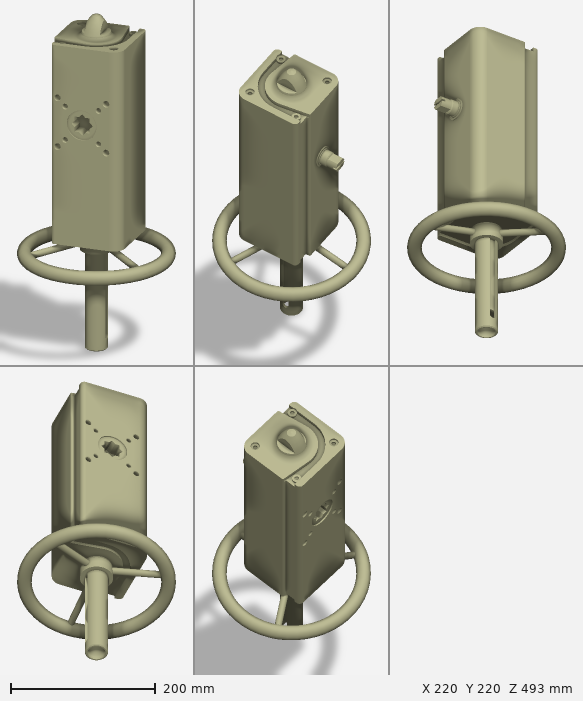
import cadquery as cq
import math


SHORT_SIDE = 51.5
LONG_SIDE = 57.0
HOUSING_TOP = 113.5
HOUSING_BOTTOM = -180.5
LARGE_CORNER = 17.0
SMALL_CORNER = 6.5
NOTCH_DEPTH = 5.0
NOTCH_START = 30.0
NOTCH_END = 31.0
NOTCH_ROUND = 2.5
BLOCK_CENTRE = (LONG_SIDE - SHORT_SIDE) / 2

TOP_CHANNEL_DEPTH = 6.5
BOTTOM_CHANNEL_DEPTH = 4.5
CHANNEL_INNER_RADIUS = 37.0
CHANNEL_OUTER_RADIUS = 47.0
CHANNEL_TILT = math.radians(8.5)

SCREW_OFFSET = 38.5
SCREW_HEAD_DIAMETER = 13.0
SCREW_SINK_DEPTH = 3.0
SCREW_SOCKET_DIAMETER = 6.5
SCREW_SOCKET_DEPTH = 3.0

DOME_BASE_RADIUS = 27.5
DOME_FLARE_RADIUS = 7.5
DOME_FOOT_HEIGHT = 3.5
DOME_MID_RADIUS = 15.5
DOME_MID_HEIGHT = 17.5
DOME_CAP_RADIUS = 6.5
DOME_CAP_HEIGHT = 29.5
DOME_HEIGHT = 31.5
DOME_FLAT_WIDTH = 22.5
DOME_FLAT_HEIGHT = 7.0

FLANGE_OUTER = 36.0
FLANGE_INNER = 24.5
LARGE_THREAD = 10.0
LARGE_CORE = 8.5
SMALL_THREAD = 8.5
SMALL_CORE = 6.5
MOUNT_HOLE_DEPTH = 15.0
DRILL_POINT = math.radians(59)

SHAFT_DIAMETER = 44.0
SHAFT_RECESS = 2.0
SHAFT_SHOULDER = 39.5
STEM_DIAMETER = 22.0
STEM_END = 65.0
STEM_CHAMFER = 1.5
TANG_DIAMETER = 20.0
TANG_THICKNESS = 16.0
TANG_END = 81.5
TANG_SLOT_WIDTH = 3.0
TANG_SLOT_DEPTH = 5.5
STAR_SIDE = 22.0
STAR_DEPTH = 19.5
REAR_BOSSES = [(31.0, 1.5), (25.0, 3.0)]

WHEEL_DIAMETER = 220.0
RIM_DIAMETER = 20.0
WHEEL_HEIGHT = -208.5
SPOKE_DIAMETER = 10.0
SPOKE_HUB_HEIGHT = -191.0
SPOKE_ANGLES = [90, 210, 330]
NECK_DIAMETER = 44.0
HUB_DIAMETER = 46.0
HUB_TOP = -184.0
HUB_BOTTOM = -202.0

TUBE_DIAMETER = 32.0
TUBE_BOTTOM = -348.0
TUBE_CHAMFER = 1.5
SPINDLE_DIAMETER = 25.0
SPINDLE_END = -317.0
SLOT_WIDTH = 10.0
SLOT_BOTTOM = -332.5


def housing_block():
    """Full-height block with two rounded notches beside the channel ends."""
    notched_side = SHORT_SIDE - NOTCH_DEPTH
    height = HOUSING_TOP - HOUSING_BOTTOM
    block = (
        cq.Workplane("XY", origin=(0, 0, HOUSING_BOTTOM))
        .polyline([
            (-SHORT_SIDE, SHORT_SIDE),
            (NOTCH_START, SHORT_SIDE),
            (NOTCH_END, notched_side),
            (LONG_SIDE, notched_side),
            (LONG_SIDE, -LONG_SIDE),
            (-notched_side, -LONG_SIDE),
            (-notched_side, -NOTCH_END),
            (-SHORT_SIDE, -NOTCH_START),
        ])
        .close()
        .extrude(height)
    )
    mid = (HOUSING_TOP + HOUSING_BOTTOM) / 2
    rounded_corners = [
        (LARGE_CORNER, (-SHORT_SIDE, SHORT_SIDE)),
        (LARGE_CORNER, (LONG_SIDE, -LONG_SIDE)),
        (SMALL_CORNER, (LONG_SIDE, notched_side)),
        (SMALL_CORNER, (-notched_side, -LONG_SIDE)),
        (NOTCH_ROUND, (NOTCH_START, SHORT_SIDE)),
        (NOTCH_ROUND, (-SHORT_SIDE, -NOTCH_START)),
    ]
    for radius, (x, y) in rounded_corners:
        block = block.edges(cq.NearestToPointSelector((x, y, mid))).fillet(radius)
    return block


def channel(floor, depth):
    """Cutter for one end-face channel, open at both notches, rising from the given Z."""
    reach = LONG_SIDE + NOTCH_DEPTH
    diagonal = math.sqrt(0.5)
    inner_x = CHANNEL_INNER_RADIUS * math.cos(CHANNEL_TILT)
    inner_y = CHANNEL_INNER_RADIUS * math.sin(CHANNEL_TILT)
    inner_end_x = inner_x - (reach - inner_y) * math.tan(CHANNEL_TILT)
    return (
        cq.Workplane("XY", origin=(0, 0, floor))
        .moveTo(inner_end_x, reach)
        .lineTo(inner_x, inner_y)
        .threePointArc(
            (CHANNEL_INNER_RADIUS * diagonal, -CHANNEL_INNER_RADIUS * diagonal),
            (-inner_y, -inner_x),
        )
        .lineTo(-reach, -inner_end_x)
        .lineTo(-reach, -CHANNEL_OUTER_RADIUS)
        .lineTo(0, -CHANNEL_OUTER_RADIUS)
        .threePointArc(
            (CHANNEL_OUTER_RADIUS * diagonal, -CHANNEL_OUTER_RADIUS * diagonal),
            (CHANNEL_OUTER_RADIUS, 0),
        )
        .lineTo(CHANNEL_OUTER_RADIUS, reach)
        .close()
        .extrude(depth)
    )


def screw_columns(diameter, depth):
    """Four cylinders at the cover screws, going down from the top face."""
    return (
        cq.Workplane("XY", origin=(BLOCK_CENTRE, -BLOCK_CENTRE, HOUSING_TOP))
        .rect(2 * SCREW_OFFSET, 2 * SCREW_OFFSET, forConstruction=True)
        .vertices()
        .circle(diameter / 2)
        .extrude(-depth)
    )


def dome():
    """Turned dome with a flared foot and two parallel side flats."""
    flare_angle = math.acos(1 - DOME_FOOT_HEIGHT / DOME_FLARE_RADIUS)
    flare_middle = (
        DOME_BASE_RADIUS - DOME_FLARE_RADIUS * math.sin(flare_angle / 2),
        DOME_FLARE_RADIUS * (1 - math.cos(flare_angle / 2)),
    )
    foot_radius = DOME_BASE_RADIUS - DOME_FLARE_RADIUS * math.sin(flare_angle)
    turned = (
        cq.Workplane("XZ", origin=(0, 0, HOUSING_TOP))
        .moveTo(0, 0)
        .lineTo(DOME_BASE_RADIUS, 0)
        .threePointArc(flare_middle, (foot_radius, DOME_FOOT_HEIGHT))
        .threePointArc((DOME_MID_RADIUS, DOME_MID_HEIGHT), (DOME_CAP_RADIUS, DOME_CAP_HEIGHT))
        .lineTo(0, DOME_HEIGHT)
        .close()
        .revolve(360, (0, 0, 0), (0, 1, 0))
    )
    for side in (-1, 1):
        flat = cq.Workplane("XY").box(
            DOME_BASE_RADIUS, 2 * DOME_BASE_RADIUS, DOME_HEIGHT, centered=(True, True, False)
        )
        flat_centre = side * (DOME_FLAT_WIDTH + DOME_BASE_RADIUS) / 2
        turned = turned.cut(flat.translate((flat_centre, 0, HOUSING_TOP + DOME_FLAT_HEIGHT)))
    return turned


def mounting_hole(x, z, thread, core):
    """Cutter for a chamfered blind hole with a drill point, going in from the -Y face."""
    chamfer = (thread - core) / 2
    point = core / 2 / math.tan(DRILL_POINT)
    return (
        cq.Workplane("XY")
        .polyline([
            (0, 0),
            (thread / 2, 0),
            (core / 2, chamfer),
            (core / 2, MOUNT_HOLE_DEPTH),
            (0, MOUNT_HOLE_DEPTH + point),
        ])
        .close()
        .revolve(360, (0, 0, 0), (0, 1, 0))
        .translate((x, -LONG_SIDE, z))
    )


def cylinder_along_y(diameter, start, end):
    """Cylinder on the output shaft's axis between two Y positions."""
    return (
        cq.Workplane("XZ", origin=(0, start, 0))
        .circle(diameter / 2)
        .extrude(start - end)
    )


def handwheel():
    """Rim, three sloping spokes and the stepped hub."""
    rim_radius = (WHEEL_DIAMETER - RIM_DIAMETER) / 2
    rim = cq.Solid.makeTorus(rim_radius, RIM_DIAMETER / 2).translate((0, 0, WHEEL_HEIGHT))
    wheel = (
        cq.Workplane("XY", origin=(0, 0, HUB_BOTTOM))
        .circle(HUB_DIAMETER / 2)
        .extrude(HUB_TOP - HUB_BOTTOM)
        .faces(">Z")
        .workplane()
        .circle(NECK_DIAMETER / 2)
        .extrude(HOUSING_BOTTOM - HUB_TOP)
    )
    inner_end = HUB_DIAMETER / 2 - SPOKE_DIAMETER
    slope = (SPOKE_HUB_HEIGHT - WHEEL_HEIGHT) / (rim_radius - HUB_DIAMETER / 2)
    run = rim_radius - inner_end
    start = cq.Vector(inner_end, 0, WHEEL_HEIGHT + slope * run)
    direction = cq.Vector(run, 0, -slope * run)
    spoke = cq.Workplane(
        cq.Solid.makeCylinder(SPOKE_DIAMETER / 2, direction.Length, start, direction)
    )
    for angle in SPOKE_ANGLES:
        wheel = wheel.union(spoke.rotate((0, 0, 0), (0, 0, 1), angle))
    return wheel.union(cq.Workplane(rim), clean=False)


def slotted_tube():
    """Tube around the spindle, slotted through along X."""
    tube = (
        cq.Workplane("XY", origin=(0, 0, TUBE_BOTTOM))
        .circle(TUBE_DIAMETER / 2)
        .extrude(HUB_BOTTOM - TUBE_BOTTOM)
        .faces("<Z")
        .chamfer(TUBE_CHAMFER)
    )
    slot_centre = SLOT_BOTTOM + SLOT_WIDTH / 2
    slot = (
        cq.Workplane("YZ")
        .moveTo(-SLOT_WIDTH / 2, HUB_BOTTOM)
        .lineTo(-SLOT_WIDTH / 2, slot_centre)
        .threePointArc((0, SLOT_BOTTOM), (SLOT_WIDTH / 2, slot_centre))
        .lineTo(SLOT_WIDTH / 2, HUB_BOTTOM)
        .close()
        .extrude(TUBE_DIAMETER, both=True)
    )
    bore = (
        cq.Workplane("XY", origin=(0, 0, TUBE_BOTTOM))
        .circle(SPINDLE_DIAMETER / 2)
        .extrude(SPINDLE_END - TUBE_BOTTOM)
    )
    spindle = (
        cq.Workplane("XY", origin=(0, 0, SPINDLE_END))
        .circle(SPINDLE_DIAMETER / 2)
        .extrude(HUB_BOTTOM - SPINDLE_END)
    )
    return tube.cut(slot).cut(bore).union(spindle)


def make_housing():
    """Housing with its dome, handwheel and tube, bored for the output shaft."""
    body = housing_block()
    top_channel = channel(HOUSING_TOP - TOP_CHANNEL_DEPTH, TOP_CHANNEL_DEPTH)
    body = body.cut(top_channel.cut(screw_columns(SCREW_HEAD_DIAMETER, TOP_CHANNEL_DEPTH)))
    body = body.cut(channel(HOUSING_BOTTOM, BOTTOM_CHANNEL_DEPTH))
    body = body.cut(screw_columns(SCREW_HEAD_DIAMETER, SCREW_SINK_DEPTH))
    body = body.cut(screw_columns(SCREW_SOCKET_DIAMETER, SCREW_SINK_DEPTH + SCREW_SOCKET_DEPTH))
    body = body.union(dome())
    for x_side in (-1, 1):
        for z_side in (-1, 1):
            body = body.cut(
                mounting_hole(x_side * FLANGE_OUTER, z_side * FLANGE_OUTER, LARGE_THREAD, LARGE_CORE)
            )
            body = body.cut(
                mounting_hole(x_side * FLANGE_INNER, z_side * FLANGE_INNER, SMALL_THREAD, SMALL_CORE)
            )
    for diameter, height in REAR_BOSSES:
        body = body.union(cylinder_along_y(diameter, SHAFT_SHOULDER, SHORT_SIDE + height))
    body = body.union(slotted_tube())
    body = body.cut(cylinder_along_y(SHAFT_DIAMETER, -LONG_SIDE, SHAFT_SHOULDER))
    body = body.cut(cylinder_along_y(STEM_DIAMETER, SHAFT_SHOULDER, STEM_END))
    return body.union(handwheel(), clean=False)


def star_socket(front):
    """Cutter for the eight-pointed star: two squares turned 45 degrees to each other."""
    square = cq.Workplane("XZ", origin=(0, front, 0)).rect(STAR_SIDE, STAR_SIDE).extrude(-STAR_DEPTH)
    return square.union(square.rotate((0, 0, 0), (0, 1, 0), 45))


def make_output_shaft():
    """Stepped shaft: star socket at the front, flat-sided slotted tang at the rear."""
    front = -LONG_SIDE + SHAFT_RECESS
    stem = cylinder_along_y(STEM_DIAMETER, SHAFT_SHOULDER, STEM_END).faces(">Y").chamfer(STEM_CHAMFER)
    tang_length = TANG_END - STEM_END
    tang = cylinder_along_y(TANG_DIAMETER, STEM_END, TANG_END).intersect(
        cq.Workplane("XY")
        .box(TANG_DIAMETER, tang_length, TANG_THICKNESS, centered=(True, False, True))
        .translate((0, STEM_END, 0))
    )
    tang_slot = (
        cq.Workplane("XY")
        .box(TANG_DIAMETER, TANG_SLOT_DEPTH, TANG_SLOT_WIDTH, centered=(True, False, True))
        .translate((0, TANG_END - TANG_SLOT_DEPTH, 0))
    )
    shaft = cylinder_along_y(SHAFT_DIAMETER, front, SHAFT_SHOULDER)
    return shaft.union(stem).union(tang).cut(tang_slot).cut(star_socket(front))


housing = make_housing()
output_shaft = make_output_shaft()

result = cq.Compound.makeCompound([housing.solids().val(), output_shaft.solids().val()])